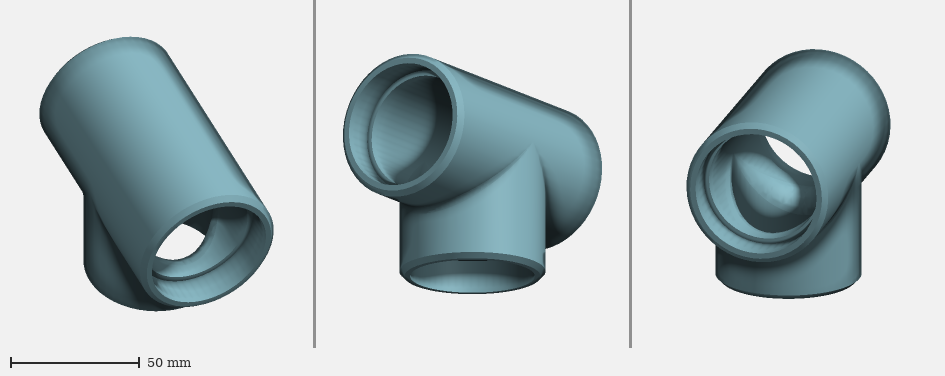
import cadquery as cq

run_length = 100.0
outer_diameter = 57.0
socket_diameter = 48.6
bore_diameter = 44.4
branch_reach = 50.0
socket_depth = 12.7
mouth_chamfer = 2.0
outer_junction_fillet = 2.3
inner_junction_fillet = 9.0

half_run = run_length / 2

mouths = [
    ((-half_run, 0, 0), (1, 0, 0)),
    ((half_run, 0, 0), (-1, 0, 0)),
    ((0, 0, -branch_reach), (0, 0, 1)),
]


def cylinder(diameter, length, start, direction):
    """Solid cylinder growing from a start point along a direction."""
    solid = cq.Solid.makeCylinder(diameter / 2, length, cq.Vector(*start), cq.Vector(*direction))
    return cq.Workplane(solid)


def filleted_tee(diameter, junction_fillet):
    """Solid tee of one diameter, filleted where the branch meets the run.

    The two junction curves cross at +Y and -Y, so one half is filleted and then mirrored.
    """
    run = cylinder(diameter, run_length, (-half_run, 0, 0), (1, 0, 0))
    branch = cylinder(diameter, branch_reach, (0, 0, 0), (0, 0, -1))
    back_space = cq.Workplane("XY").box(
        run_length, diameter, 2 * branch_reach, centered=(True, False, True)
    )
    back_half = run.union(branch).intersect(back_space)
    back_half = back_half.edges("%ELLIPSE").fillet(junction_fillet)
    return back_half.union(back_half.mirror("XZ"))


body = filleted_tee(outer_diameter, outer_junction_fillet)
body = body.faces("<X or >X or <Z").edges("%CIRCLE").chamfer(mouth_chamfer)

result = body.cut(filleted_tee(bore_diameter, inner_junction_fillet))

for centre, inward in mouths:
    result = result.cut(cylinder(socket_diameter, socket_depth, centre, inward))